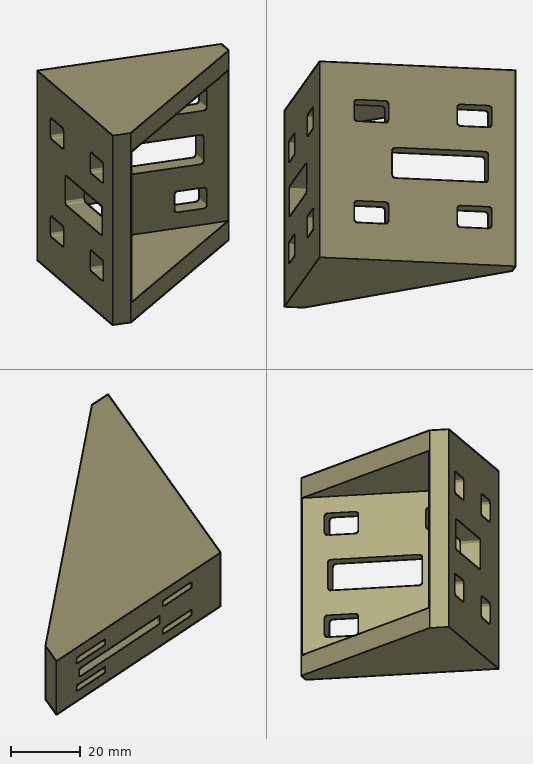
import cadquery as cq

leg = 57.0
height = 58.0
leg_tip = 5.6

wall = 6.0
gusset = 6.0

small_length = 10.0
small_height = 6.4
small_pitch_along = 30.0
small_pitch_up = 29.9
small_center = 30.05

large_length = 27.95
large_height = 9.0
large_center = 35.1

slot_radius = 1.0


def body():
    """Triangular prism with blunt leg tips, right-angled corner at the origin."""
    outline = [(0, 0), (leg, 0), (leg, leg_tip), (leg_tip, leg), (0, leg)]
    return cq.Workplane("XY").polyline(outline).close().extrude(height)


def pocket():
    """Space between the walls and the gussets, open at the sloping face."""
    return (
        cq.Workplane("XY", origin=(wall, wall, gusset))
        .rect(leg, leg, centered=False)
        .extrude(height - 2 * gusset)
    )


def slot(length, slot_height, along, up):
    """Rounded slot through the wall that lies on the XZ plane."""
    return (
        cq.Workplane("XY")
        .box(length, wall, slot_height)
        .edges("|Y")
        .fillet(slot_radius)
        .translate((along, wall / 2, up))
    )


def wall_slots():
    """All slots of the wall that lies on the XZ plane."""
    middle = height / 2
    slots = slot(large_length, large_height, large_center, middle)
    for side in (-1, 1):
        for level in (-1, 1):
            along = small_center + side * small_pitch_along / 2
            up = middle + level * small_pitch_up / 2
            slots = slots.union(slot(small_length, small_height, along, up))
    return slots


front_slots = wall_slots()
side_slots = front_slots.rotate((0, 0, 0), (0, 0, 1), 90).translate((wall, 0, 0))

result = body().cut(pocket()).cut(front_slots).cut(side_slots)